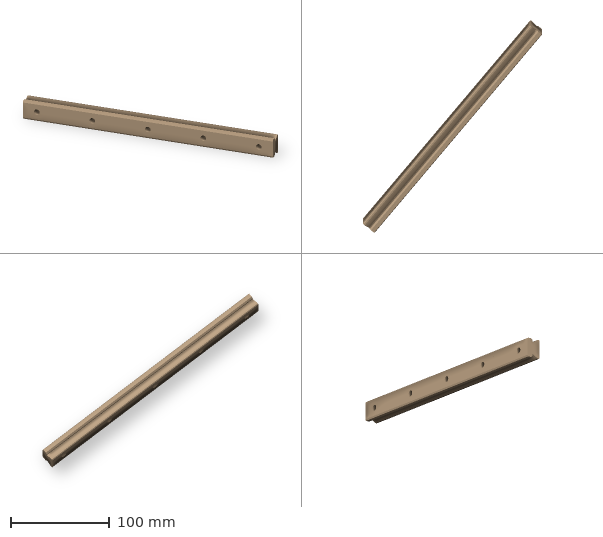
import cadquery as cq

length = 270.0
depth = 15.5
height = 20.0

front_bevel_depth = 0.8
front_bevel_height = 1.5

back_bevel_depth = 0.8
back_bevel_height = 1.0

groove_depth = 3.2
groove_start = 4.9
groove_wall = 6.5
groove_wall_top_drop = 2.0
groove_floor_end = 7.5
flank_break = 11.3
flank_break_drop = 0.8
flank_end = 13.0

hole_diameter = 6.0
hole_count = 5
hole_pitch = 60.0

half_height = height / 2


def make_rail():
    """Extrude the grooved section, symmetric about its mid-height, along X."""
    upper_half = [
        (0, half_height - front_bevel_height),
        (front_bevel_depth, half_height),
        (groove_start, half_height),
        (groove_wall, half_height - groove_wall_top_drop),
        (groove_wall, half_height - groove_depth),
        (groove_floor_end, half_height - groove_depth),
        (flank_break, half_height - flank_break_drop),
        (flank_end, half_height),
        (depth - back_bevel_depth, half_height),
        (depth, half_height - back_bevel_height),
    ]
    lower_half = [(y, -z) for y, z in reversed(upper_half)]
    section = cq.Workplane("YZ").polyline(upper_half + lower_half).close()
    return section.extrude(length).translate((-length / 2, -depth / 2, 0))


def make_holes():
    """Row of plain holes running through the rail from front to back."""
    return (
        cq.Workplane("XZ")
        .rarray(hole_pitch, 2.7, hole_count, 1)
        .circle(hole_diameter / 2)
        .extrude(depth / 2, both=True)
    )


result = make_rail().cut(make_holes())